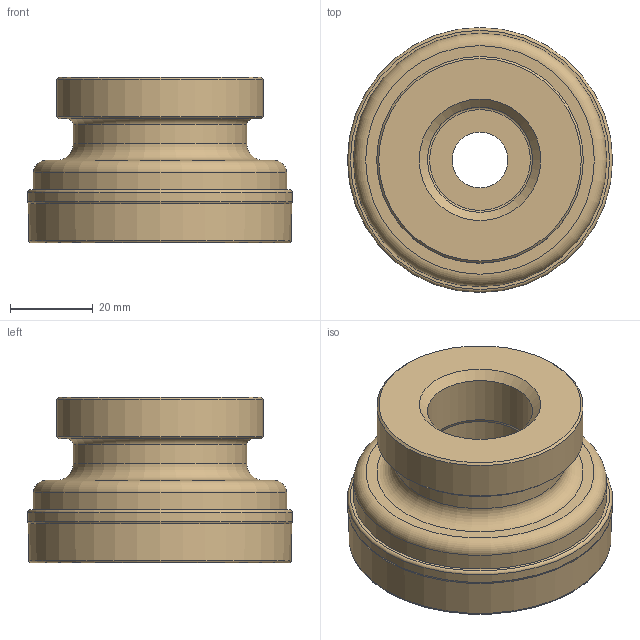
import cadquery as cq
import math

total_height = 40.0

head_radius = 50.0 / 2
head_bottom = 30.0
head_chamfer = 0.5
neck_radius = 42.0 / 2
neck_top_fillet = 1.5
neck_bottom_fillet = head_radius - neck_radius
base_radius = 61.3 / 2
base_top = 19.9
base_top_fillet = 3.0

bore_radius = 25.41 / 2
bore_lead_in = 2.0
bore_step_height = 26.4
wide_bore_radius = 25.9 / 2
bore_step_angle = 20.0
bore_floor_height = 12.0
bore_floor_fillet = 0.75
through_hole_radius = 13.5 / 2

sleeve_top = 12.8
lip_radius = 64.11 / 2
lip_bottom = 9.9
lip_step = 0.2
lip_step_height = 0.5
lip_fillet = 0.7
skirt_bottom_radius = 63.55 / 2
sleeve_bottom_fillet = 0.5


def point_on_arc(center, radius, angle_degrees):
    """Point on a circle in the radius-height plane."""
    angle = math.radians(angle_degrees)
    return (center[0] + radius * math.cos(angle), center[1] + radius * math.sin(angle))


def revolve_about_z(profile):
    """Turn a closed radius-height profile in the XZ plane once around the Z axis."""
    return profile.close().revolve(360, (0, 0), (0, 1))


def make_housing_blank():
    """Outside of the housing, without its bore."""
    neck_top_center = (neck_radius + neck_top_fillet, head_bottom - neck_top_fillet)
    neck_bottom_center = (neck_radius + neck_bottom_fillet, base_top + neck_bottom_fillet)
    base_top_center = (base_radius - base_top_fillet, base_top - base_top_fillet)
    profile = (
        cq.Workplane("XZ")
        .lineTo(base_radius, 0)
        .lineTo(base_radius, base_top_center[1])
        .threePointArc(
            point_on_arc(base_top_center, base_top_fillet, 45),
            (base_top_center[0], base_top),
        )
        .lineTo(neck_bottom_center[0], base_top)
        .threePointArc(
            point_on_arc(neck_bottom_center, neck_bottom_fillet, 225),
            (neck_radius, neck_bottom_center[1]),
        )
        .lineTo(neck_radius, neck_top_center[1])
        .threePointArc(
            point_on_arc(neck_top_center, neck_top_fillet, 135),
            (neck_top_center[0], head_bottom),
        )
        .lineTo(head_radius - head_chamfer, head_bottom)
        .lineTo(head_radius, head_bottom + head_chamfer)
        .lineTo(head_radius, total_height - head_chamfer)
        .lineTo(head_radius - head_chamfer, total_height)
        .lineTo(0, total_height)
    )
    return revolve_about_z(profile)


def make_bore():
    """Space inside the housing: lead-in, bore, wider lower bore and through hole."""
    step_drop = (wide_bore_radius - bore_radius) / math.tan(math.radians(bore_step_angle))
    floor_center = (wide_bore_radius - bore_floor_fillet, bore_floor_height + bore_floor_fillet)
    profile = (
        cq.Workplane("XZ")
        .lineTo(through_hole_radius, 0)
        .lineTo(through_hole_radius, bore_floor_height)
        .lineTo(floor_center[0], bore_floor_height)
        .threePointArc(
            point_on_arc(floor_center, bore_floor_fillet, -45),
            (wide_bore_radius, floor_center[1]),
        )
        .lineTo(wide_bore_radius, bore_step_height - step_drop)
        .lineTo(bore_radius, bore_step_height)
        .lineTo(bore_radius, total_height - bore_lead_in)
        .lineTo(bore_radius + bore_lead_in, total_height)
        .lineTo(0, total_height)
    )
    return revolve_about_z(profile)


def make_sleeve():
    """Ring around the lower base with a rounded lip and a skirt that narrows downward."""
    bottom_center = (skirt_bottom_radius - sleeve_bottom_fillet, sleeve_bottom_fillet)
    lip_center = (lip_radius - lip_fillet, sleeve_top - lip_fillet)
    profile = (
        cq.Workplane("XZ")
        .moveTo(base_radius, 0)
        .lineTo(bottom_center[0], 0)
        .threePointArc(
            point_on_arc(bottom_center, sleeve_bottom_fillet, -45),
            (skirt_bottom_radius, bottom_center[1]),
        )
        .lineTo(lip_radius - lip_step, lip_bottom - lip_step_height)
        .lineTo(lip_radius, lip_bottom)
        .lineTo(lip_radius, lip_center[1])
        .threePointArc(
            point_on_arc(lip_center, lip_fillet, 45),
            (lip_center[0], sleeve_top),
        )
        .lineTo(base_radius, sleeve_top)
    )
    return revolve_about_z(profile)


housing = make_housing_blank().cut(make_bore())
sleeve = make_sleeve()

result = cq.Compound.makeCompound([housing.val(), sleeve.val()])